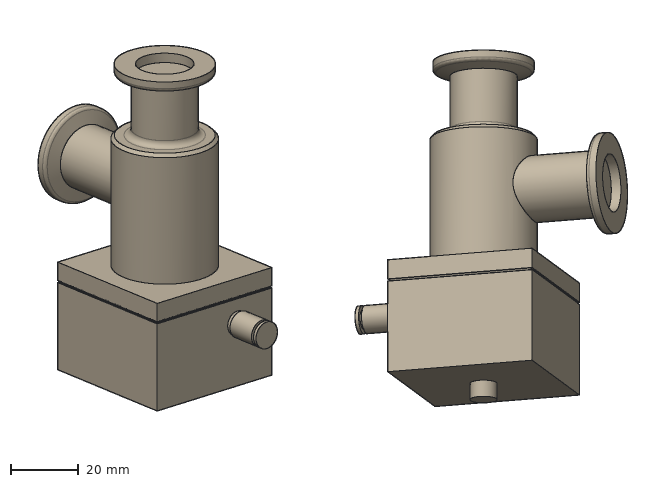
import cadquery as cq
import math

total_height = 103.0
block_bottom = 4.9
block_top = 32.7
plate_bottom = 33.3
plate_top = 39.1
shoulder_height = 80.3
side_port_height = 63.0

block_width = 45.0
neck_inset = 0.5

body_radius = 16.0
shoulder_chamfer = 1.0
shoulder_fillet = 2.1

port_radius = 10.0
flange_radius = 15.0
flange_rim = 3.0
flange_cone_angle = 15.0
flange_edge_fillet = 1.1
port_bore_radius = 8.7
port_bore_depth = 3.0
side_port_reach = 40.0

stem_radius = 4.0

fitting_y = 9.0
fitting_z = 24.9
fitting_radius = 4.2
fitting_neck_radius = 3.8
fitting_groove_radius = 2.8
fitting_neck_length = 1.5
fitting_body_length = 9.7
fitting_groove_length = 0.9
fitting_cap_length = 1.1


def square_layer(width, bottom, top):
    """Square slab centred on the vertical axis."""
    return cq.Workplane("XY").workplane(offset=bottom).rect(width, width).extrude(top - bottom)


def clamp_port(length):
    """Tube from the origin along +Z, ending in a flange whose back face is conical."""
    cone_height = (flange_radius - port_radius) * math.tan(math.radians(flange_cone_angle))
    rim_bottom = length - flange_rim
    tube = cq.Workplane("XY").circle(port_radius).extrude(length)
    flange = (
        cq.Workplane("XZ")
        .moveTo(0, length)
        .lineTo(flange_radius, length)
        .lineTo(flange_radius, rim_bottom)
        .lineTo(port_radius, rim_bottom - cone_height)
        .lineTo(0, rim_bottom - cone_height)
        .close()
        .revolve(360, (0, 0, 0), (0, 1, 0))
    )
    rim_back_edge = flange.edges("%CIRCLE").edges(">>Z[-2]")
    flange = rim_back_edge.fillet(flange_edge_fillet)
    return tube.union(flange)


def port_recess(length):
    """Shallow round recess in the outer face of a port of the given length."""
    return (
        cq.Workplane("XY")
        .workplane(offset=length - port_bore_depth)
        .circle(port_bore_radius)
        .extrude(port_bore_depth)
    )


def to_side(shape):
    """Turn a port built along +Z so that it points along -X at the side port height."""
    return shape.rotate((0, 0, 0), (0, 1, 0), -90).translate((0, 0, side_port_height))


def valve_body():
    """Cylinder with a chamfered shoulder."""
    return (
        cq.Workplane("XY")
        .workplane(offset=plate_top)
        .circle(body_radius)
        .extrude(shoulder_height - plate_top)
        .faces(">Z")
        .chamfer(shoulder_chamfer)
    )


def shoulder_blend():
    """Concave ring that blends the shoulder into the top tube."""
    blend_radius = port_radius + shoulder_fillet
    blend_top = shoulder_height + shoulder_fillet
    arc_offset = shoulder_fillet * (1 - math.sqrt(0.5))
    return (
        cq.Workplane("XZ")
        .moveTo(0, shoulder_height)
        .lineTo(blend_radius, shoulder_height)
        .threePointArc(
            (port_radius + arc_offset, shoulder_height + arc_offset),
            (port_radius, blend_top),
        )
        .lineTo(0, blend_top)
        .close()
        .revolve(360, (0, 0, 0), (0, 1, 0))
    )


def air_fitting():
    """Stack of coaxial cylinders running along +X from the block face."""
    sections = [
        (fitting_neck_radius, fitting_neck_length),
        (fitting_radius, fitting_body_length),
        (fitting_groove_radius, fitting_groove_length),
        (fitting_radius, fitting_cap_length),
    ]
    fitting = cq.Workplane("YZ")
    section_start = block_width / 2
    for radius, length in sections:
        section = (
            cq.Workplane("YZ", origin=(section_start, fitting_y, fitting_z))
            .circle(radius)
            .extrude(length)
        )
        fitting = fitting.add(section)
        section_start += length
    return fitting.combine()


stem = cq.Workplane("XY").circle(stem_radius).extrude(block_bottom)
block = square_layer(block_width, block_bottom, block_top)
neck = square_layer(block_width - 2 * neck_inset, block_top, plate_bottom)
plate = square_layer(block_width, plate_bottom, plate_top)

top_port_length = total_height - plate_top
top_offset = (0, 0, plate_top)

result = (
    stem.union(block)
    .union(neck)
    .union(plate)
    .union(valve_body())
    .union(shoulder_blend())
    .union(clamp_port(top_port_length).translate(top_offset))
    .union(to_side(clamp_port(side_port_reach)))
    .union(air_fitting())
    .cut(port_recess(top_port_length).translate(top_offset))
    .cut(to_side(port_recess(side_port_reach)))
)